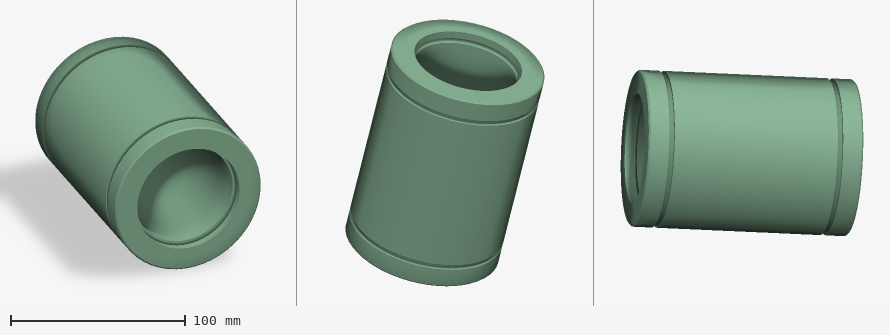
import cadquery as cq

length = 125.0
outer_diameter = 90.0
bore_diameter = 60.0
edge_chamfer = 1.0

groove_diameter = 86.5
groove_width = 3.1
groove_spacing = 95.0

entry_diameter = 63.0
entry_depth = 4.5
inner_groove_diameter = 69.0
inner_groove_width = 2.2


def cylinder_along_x(start, span, diameter):
    """Solid cylinder on the X axis, starting at x = start."""
    return cq.Workplane("YZ", origin=(start, 0, 0)).circle(diameter / 2).extrude(span)


def ring_groove(start):
    """Ring to remove from the outside, starting at x = start."""
    ring = cylinder_along_x(start, groove_width, outer_diameter)
    return ring.cut(cylinder_along_x(start, groove_width, groove_diameter))


body = cylinder_along_x(-length / 2, length, outer_diameter)
body = body.edges("%CIRCLE").chamfer(edge_chamfer)

body = body.cut(cylinder_along_x(-length / 2, length, bore_diameter))

for start in (-length / 2, length / 2 - entry_depth):
    body = body.cut(cylinder_along_x(start, entry_depth, entry_diameter))

inner_groove_end = length / 2 - entry_depth
for start in (-inner_groove_end, inner_groove_end - inner_groove_width):
    body = body.cut(cylinder_along_x(start, inner_groove_width, inner_groove_diameter))

for start in (-groove_spacing / 2 - groove_width, groove_spacing / 2):
    body = body.cut(ring_groove(start))

result = body